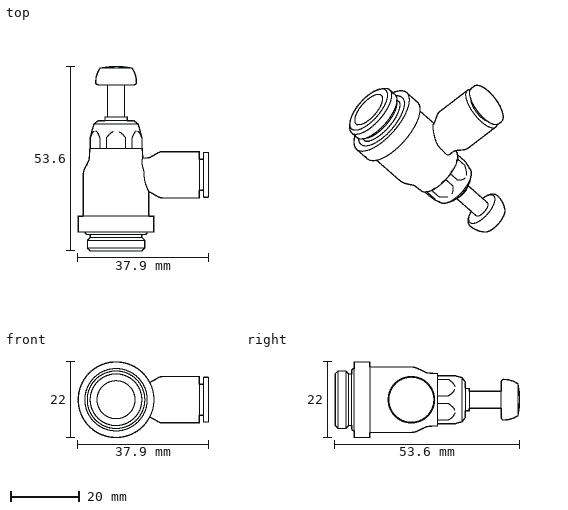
import cadquery as cq
import math


bore_radius = 5.5
nose_radius = 8.35
nose_chamfer = 0.85
nose_top = 3.95
neck_radius = nose_radius - nose_chamfer
flange_diameter = 22.0
flange_radius = flange_diameter / 2
flange_start = 5.5
flange_end = 10.15
seal_radius = 9.05
seal_section_radius = 0.75

body_radius = 9.55
body_round_start = 22.15
body_cone_start = 23.95
body_cone_end = 26.2
ring_start = 27.15
ring_taper = 0.15
ring_end = 29.8
body_cone_angle = 26.0

cap_radius = 7.55
hex_apothem = 7.0
hex_sides = 6
cap_cone_start = 32.85
cap_cone_end = 36.8
cap_cone_end_radius = 6.5
cap_top = 37.85
cap_top_radius = 5.2

collar_radius = 3.25
collar_top = 38.95
stem_radius = 2.5
knob_bottom = 48.2
knob_radius = 5.95
knob_widest = 48.9
knob_round_end = 48.45
knob_round_end_radius = 5.75
knob_round_bulge = 0.05
knob_bottom_radius = 5.2
knob_shoulder = 53.1
knob_shoulder_radius = 4.65
knob_bulge = 0.4
total_length = 53.6

total_width = 37.9
branch_height = 22.15
branch_radius = 6.75
branch_round_start = 8.95
branch_cone_start = 10.25
branch_cone_end = 12.2
branch_barrel_start = 13.45
branch_barrel_end = 24.15
branch_cone_angle = 30.0
release_neck_radius = 4.55
release_start = 25.35
release_end = total_width - flange_radius
release_radius = 6.55
release_edge_round = 0.25


def blend_rise(length, angle):
    """Radius change along an axial length of an arc that turns from the axis direction by angle."""
    return length * math.tan(math.radians(angle / 2))


def blend_middle(length, angle):
    """Axial and radial offset of that arc's midpoint from its end that lies along the axis."""
    arc_radius = length / math.sin(math.radians(angle))
    half_turn = math.radians(angle / 2)
    return arc_radius * math.sin(half_turn), arc_radius * (1 - math.cos(half_turn))


def make_main_column():
    """Everything turned about the main axis, from the inlet nose to the knob."""
    round_length = body_cone_start - body_round_start
    round_x, round_drop = blend_middle(round_length, body_cone_angle)
    cone_start_radius = body_radius - blend_rise(round_length, body_cone_angle)
    cone_length = body_cone_end - body_cone_start
    cone_end_radius = cone_start_radius - cone_length * math.tan(math.radians(body_cone_angle))
    hollow_length = ring_start - body_cone_end
    hollow_x, hollow_rise = blend_middle(hollow_length, body_cone_angle)
    ring_radius = cone_end_radius - blend_rise(hollow_length, body_cone_angle)
    knob_middle = (knob_widest + knob_shoulder) / 2
    knob_middle_radius = (knob_radius + knob_shoulder_radius) / 2 + knob_bulge
    knob_round_middle = (knob_round_end + knob_widest) / 2
    knob_round_middle_radius = (knob_round_end_radius + knob_radius) / 2 + knob_round_bulge

    dome_height = total_length - knob_shoulder
    dome_sphere_radius = (knob_shoulder_radius**2 + dome_height**2) / (2 * dome_height)
    dome_middle_radius = knob_shoulder_radius / 2
    dome_center = total_length - dome_sphere_radius
    dome_middle = dome_center + math.sqrt(dome_sphere_radius**2 - dome_middle_radius**2)

    profile = (
        cq.Workplane("XY")
        .lineTo(neck_radius, 0)
        .lineTo(nose_radius, nose_chamfer)
        .lineTo(nose_radius, nose_top - nose_chamfer)
        .lineTo(neck_radius, nose_top)
        .lineTo(neck_radius, flange_start)
        .lineTo(flange_radius, flange_start)
        .lineTo(flange_radius, flange_end)
        .lineTo(body_radius, flange_end)
        .lineTo(body_radius, body_round_start)
        .threePointArc(
            (body_radius - round_drop, body_round_start + round_x),
            (cone_start_radius, body_cone_start),
        )
        .lineTo(cone_end_radius, body_cone_end)
        .threePointArc((ring_radius + hollow_rise, ring_start - hollow_x), (ring_radius, ring_start))
        .lineTo(ring_radius - ring_taper, ring_end)
        .lineTo(cap_radius, ring_end)
        .lineTo(cap_radius, cap_cone_start)
        .lineTo(cap_cone_end_radius, cap_cone_end)
        .lineTo(cap_top_radius, cap_top)
        .lineTo(collar_radius, cap_top)
        .lineTo(collar_radius, collar_top)
        .lineTo(stem_radius, collar_top)
        .lineTo(stem_radius, knob_bottom)
        .lineTo(knob_bottom_radius, knob_bottom)
        .lineTo(knob_round_end_radius, knob_round_end)
        .threePointArc((knob_round_middle_radius, knob_round_middle), (knob_radius, knob_widest))
        .threePointArc((knob_middle_radius, knob_middle), (knob_shoulder_radius, knob_shoulder))
        .threePointArc((dome_middle_radius, dome_middle), (0, total_length))
        .close()
    )
    return profile.revolve(360, (0, 0, 0), (0, 1, 0))


def make_seal_ring():
    """Round-section seal ring, half sunk into the underside of the flange."""
    section = cq.Workplane("XY").moveTo(seal_radius - seal_section_radius, flange_start)
    return section.circle(seal_section_radius).revolve(360, (0, 0, 0), (0, 1, 0))


def make_hex_cutter():
    """Material outside the hexagon, over the cap's cylinder and cone; two flats face +Z and -Z."""
    height = cap_cone_end - ring_end
    corner_diameter = 2 * hex_apothem / math.cos(math.pi / hex_sides)
    start = cq.Workplane("XZ", origin=(0, cap_cone_end, 0))
    hexagon = start.polygon(hex_sides, corner_diameter).extrude(height)
    return start.circle(flange_radius).extrude(height).cut(hexagon)


def make_branch():
    """Side branch turned about its own axis, which crosses the main axis."""
    shoulder_length = branch_barrel_start - branch_cone_end
    shoulder_x, shoulder_drop = blend_middle(shoulder_length, branch_cone_angle)
    cone_end_radius = branch_radius - blend_rise(shoulder_length, branch_cone_angle)
    cone_length = branch_cone_end - branch_cone_start
    cone_start_radius = cone_end_radius - cone_length * math.tan(math.radians(branch_cone_angle))
    hollow_length = branch_cone_start - branch_round_start
    hollow_x, hollow_rise = blend_middle(hollow_length, branch_cone_angle)
    root_radius = cone_start_radius - blend_rise(hollow_length, branch_cone_angle)

    barrel = (
        cq.Workplane("XY", origin=(0, branch_height, 0))
        .lineTo(0, root_radius)
        .lineTo(branch_round_start, root_radius)
        .threePointArc(
            (branch_round_start + hollow_x, root_radius + hollow_rise),
            (branch_cone_start, cone_start_radius),
        )
        .lineTo(branch_cone_end, cone_end_radius)
        .threePointArc(
            (branch_barrel_start - shoulder_x, branch_radius - shoulder_drop),
            (branch_barrel_start, branch_radius),
        )
        .lineTo(branch_barrel_end, branch_radius)
        .lineTo(branch_barrel_end, release_neck_radius)
        .lineTo(release_start, release_neck_radius)
        .lineTo(release_start, 0)
        .close()
        .revolve(360, (0, 0, 0), (1, 0, 0))
    )
    release_ring = (
        cq.Workplane("YZ", origin=(release_start, branch_height, 0))
        .circle(release_radius)
        .extrude(release_end - release_start)
        .edges()
        .fillet(release_edge_round)
    )
    return barrel.union(release_ring)


def make_inlet_bore():
    """Blind inlet bore, as deep as the far side of the flange."""
    return cq.Workplane("XZ").circle(bore_radius).extrude(-flange_end)


column = make_main_column().cut(make_hex_cutter())
result = column.union(make_seal_ring()).union(make_branch()).cut(make_inlet_bore())